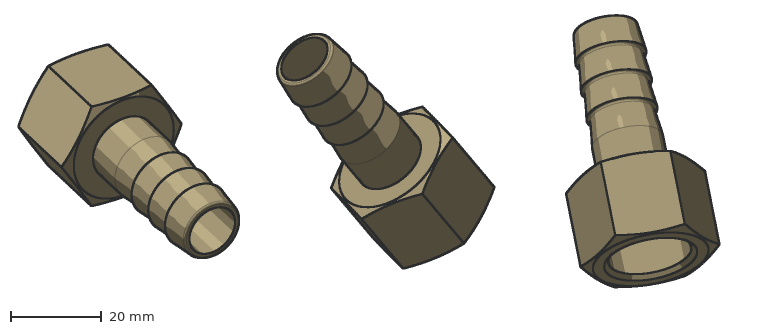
import cadquery as cq
import math

overall_length = 57.0

nut_length = 19.95
across_flats = 27.0
across_corners = across_flats / math.cos(math.radians(30))
nut_face_radius = 13.0
corner_chamfer_length = 0.9
thread_bore_radius = 9.35
thread_entry_radius = 10.45
thread_entry_depth = thread_entry_radius - thread_bore_radius
nut_rear_wall = 3.0

shank_radius = 8.0
flange_radius = 8.95
flange_thickness = 3.0
bore_radius = 5.9
bore_chamfer = 0.4
barb_count = 4
barbs_start_x = 29.05
barb_root_radius = 7.2
barb_fillet = 0.5

flange_seat_x = nut_length - nut_rear_wall
flange_face_x = flange_seat_x - flange_thickness
barb_pitch = (overall_length - barbs_start_x) / barb_count


def revolve_about_x(points):
    """Turn a closed (x, radius) profile a full circle about the X axis."""
    return cq.Workplane("XZ").polyline(points).close().revolve(360, (0, 0, 0), (1, 0, 0))


def make_nut():
    hexagon = cq.Workplane("YZ").polygon(6, across_corners).extrude(nut_length)

    envelope = revolve_about_x([
        (0, 0),
        (0, nut_face_radius),
        (corner_chamfer_length, across_corners / 2),
        (nut_length - corner_chamfer_length, across_corners / 2),
        (nut_length, nut_face_radius),
        (nut_length, 0),
    ])

    socket = revolve_about_x([
        (0, 0),
        (0, thread_entry_radius),
        (thread_entry_depth, thread_bore_radius),
        (flange_seat_x, thread_bore_radius),
        (flange_seat_x, shank_radius),
        (nut_length, shank_radius),
        (nut_length, 0),
    ])
    return hexagon.intersect(envelope).cut(socket)


def make_hose_tail():
    profile = [
        (flange_face_x, 0),
        (flange_face_x, flange_radius),
        (flange_seat_x, flange_radius),
        (flange_seat_x, shank_radius),
    ]
    for i in range(barb_count):
        barb_x = barbs_start_x + i * barb_pitch
        profile.append((barb_x, shank_radius))
        profile.append((barb_x + barb_pitch, barb_root_radius))
    profile.append((overall_length, 0))
    tail = revolve_about_x(profile)

    root_edges = cq.selectors.RadiusNthSelector(0)
    tail = tail.edges(root_edges).fillet(barb_fillet)

    bore = revolve_about_x([
        (flange_face_x, 0),
        (flange_face_x, bore_radius + bore_chamfer),
        (flange_face_x + bore_chamfer, bore_radius),
        (overall_length, bore_radius),
        (overall_length, 0),
    ])
    return tail.cut(bore)


nut = make_nut()
hose_tail = make_hose_tail()

result = cq.Compound.makeCompound([nut.solids().val(), hose_tail.solids().val()])